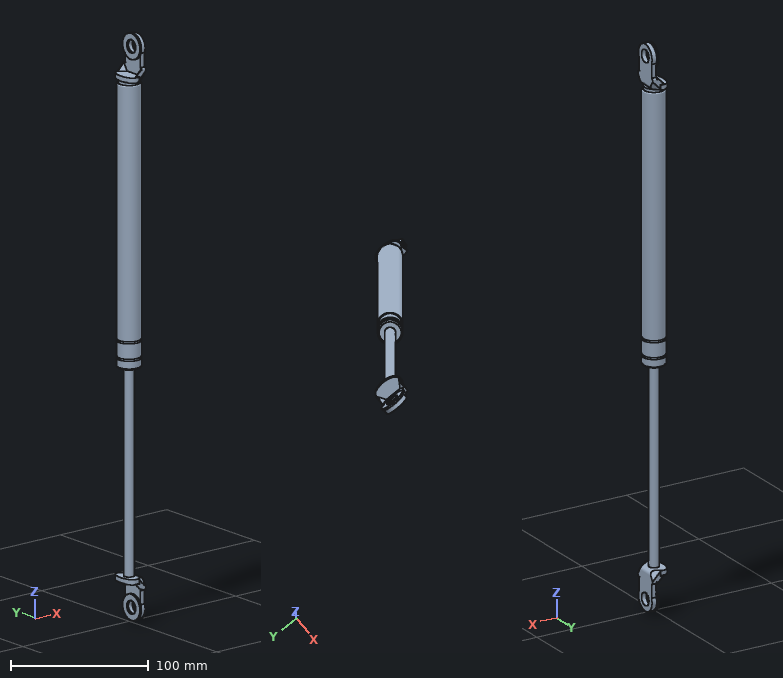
import cadquery as cq
import math

overall_length = 445.0

tube_diameter = 18.5
tube_top = 185.5
tube_bottom = -30.0
tube_top_round = 1.0
tube_bottom_chamfer = 1.2
groove_radius = 0.8
groove_depth = 0.5
groove_heights = (-9.0, -22.2)
neck_diameter = 15.8

rod_diameter = 8.0
rod_engagement = 20.0

strip_thickness = 4.0
bracket_seat = 188.0
flange_width = 22.0
flange_back = -8.0
flange_front = 1.0
flange_back_arc_radius = 20.0
flange_corner_radius = 5.0
leg_outer_face = 7.5
leg_width = 17.5
leg_end_radius = 9.5
bend_outer_radius = 3.8
shoulder_width = 20.5
shoulder_height = 10.0
shoulder_round = 1.5

gusset_reach = 6.0
gusset_depth = 3.8
recess_scale = 1.25

bushing_diameter = 20.0
bushing_thickness = 1.5
eye_bore = 10.0

eye_height = overall_length / 2 - bushing_diameter / 2
flange_top = bracket_seat + strip_thickness
leg_inner_face = leg_outer_face - strip_thickness


def make_tube():
    """Closed tube with a rolled groove at each seal, a top neck and a bore for the rod."""
    tube = (
        cq.Workplane("XY", origin=(0, 0, tube_bottom))
        .circle(tube_diameter / 2)
        .extrude(tube_top - tube_bottom)
        .faces(">Z").edges().fillet(tube_top_round)
        .faces("<Z").edges().chamfer(tube_bottom_chamfer)
    )
    for height in groove_heights:
        groove_centre = tube_diameter / 2 + groove_radius - groove_depth
        groove = (
            cq.Workplane("XZ")
            .center(groove_centre, height)
            .circle(groove_radius)
            .revolve(360, (-groove_centre, 0), (-groove_centre, 1))
        )
        tube = tube.cut(groove)
    neck = (
        cq.Workplane("XY", origin=(0, 0, tube_top))
        .circle(neck_diameter / 2)
        .extrude(bracket_seat - tube_top)
    )
    bore = (
        cq.Workplane("XY", origin=(0, 0, tube_bottom))
        .circle(rod_diameter / 2)
        .extrude(rod_engagement)
    )
    return tube.union(neck).cut(bore)


def make_rod():
    """Plain rod from inside the tube down to the lower bracket."""
    rod_top = tube_bottom + rod_engagement
    return (
        cq.Workplane("XY", origin=(0, 0, -bracket_seat))
        .circle(rod_diameter / 2)
        .extrude(rod_top + bracket_seat)
    )


def make_bent_strip():
    """L-shaped strip with a rounded outer bend, as wide as the flange."""
    return (
        cq.Workplane("XZ")
        .moveTo(flange_back, bracket_seat)
        .lineTo(leg_outer_face, bracket_seat)
        .lineTo(leg_outer_face, overall_length / 2)
        .lineTo(leg_inner_face, overall_length / 2)
        .lineTo(leg_inner_face, flange_top)
        .lineTo(flange_back, flange_top)
        .close()
        .extrude(flange_width / 2, both=True)
        .edges("|Y").edges(">X").edges("<Z").fillet(bend_outer_radius)
    )


def make_plan_limit():
    """Plan outline of the bracket: wide flange with a bowed, rounded back, then the narrower bend."""
    half_flange = flange_width / 2
    half_shoulder = shoulder_width / 2
    bow = flange_back_arc_radius - math.sqrt(flange_back_arc_radius**2 - half_flange**2)
    return (
        cq.Workplane("XY", origin=(0, 0, bracket_seat))
        .moveTo(leg_outer_face, -half_shoulder)
        .lineTo(leg_outer_face, half_shoulder)
        .lineTo(flange_front, half_shoulder)
        .lineTo(flange_front, half_flange)
        .lineTo(flange_back + bow, half_flange)
        .threePointArc((flange_back, 0), (flange_back + bow, -half_flange))
        .lineTo(flange_front, -half_flange)
        .lineTo(flange_front, -half_shoulder)
        .close()
        .extrude(overall_length / 2 - bracket_seat)
        .edges("|Z").edges("<X").fillet(flange_corner_radius)
    )


def make_block(width, bottom, top):
    """Block centred on Z that is longer in X than the bracket."""
    return (
        cq.Workplane("XY", origin=(0, 0, bottom))
        .rect(2 * tube_diameter, width)
        .extrude(top - bottom)
    )


def make_side_limit():
    """Side outline of the bracket: flange, shoulder, leg and round eye end."""
    shoulder = make_block(shoulder_width, flange_top, bracket_seat + shoulder_height)
    shoulder = shoulder.faces(">Z").edges("|X").fillet(shoulder_round)
    eye_end = (
        cq.Workplane("YZ", origin=(0, 0, eye_height))
        .circle(leg_end_radius)
        .extrude(tube_diameter, both=True)
    )
    return (
        make_block(flange_width, bracket_seat, flange_top)
        .union(shoulder)
        .union(make_block(leg_width, flange_top, eye_height))
        .union(eye_end)
    )


def make_corner_wedge(corner_x, corner_z, side, scale):
    """Tetrahedron with its square corner on one side face of the shoulder, reaching back, inwards and up."""
    corner = cq.Vector(corner_x, side * shoulder_width / 2, corner_z)
    back = corner + cq.Vector(-gusset_reach * scale, 0, 0)
    inward = corner + cq.Vector(0, -side * gusset_depth * scale, 0)
    up = corner + cq.Vector(0, 0, gusset_reach * scale)
    triangles = (
        (corner, back, inward),
        (corner, inward, up),
        (corner, up, back),
        (back, inward, up),
    )
    faces = [
        cq.Face.makeFromWires(cq.Wire.makePolygon([*triangle, triangle[0]]))
        for triangle in triangles
    ]
    return cq.Workplane(cq.Solid.makeSolid(cq.Shell.makeShell(faces)))


def make_bracket():
    """Upper bracket, with a gusset inside the bend and a matching recess outside it at both sides."""
    bracket = make_bent_strip().intersect(make_plan_limit()).intersect(make_side_limit())
    for side in (-1, 1):
        gusset = make_corner_wedge(leg_inner_face, flange_top, side, 1.0)
        recess = make_corner_wedge(leg_outer_face, bracket_seat, side, recess_scale)
        bracket = bracket.union(gusset).cut(recess)
    bore = (
        cq.Workplane("YZ", origin=(0, 0, eye_height))
        .circle(eye_bore / 2)
        .extrude(tube_diameter)
    )
    return bracket.cut(bore)


def make_bushing():
    """Upper eye bushing: a ring against the inner face of the leg."""
    return (
        cq.Workplane("YZ", origin=(leg_inner_face - bushing_thickness, 0, eye_height))
        .circle(bushing_diameter / 2)
        .circle(eye_bore / 2)
        .extrude(bushing_thickness)
    )


tube = make_tube()
rod = make_rod()

end_fittings = []
for upper_part in (make_bracket(), make_bushing()):
    lower_part = upper_part.mirror("XY")
    end_fittings += [upper_part.solids().val(), lower_part.solids().val()]

result = cq.Compound.makeCompound([tube.solids().val(), rod.val(), *end_fittings])